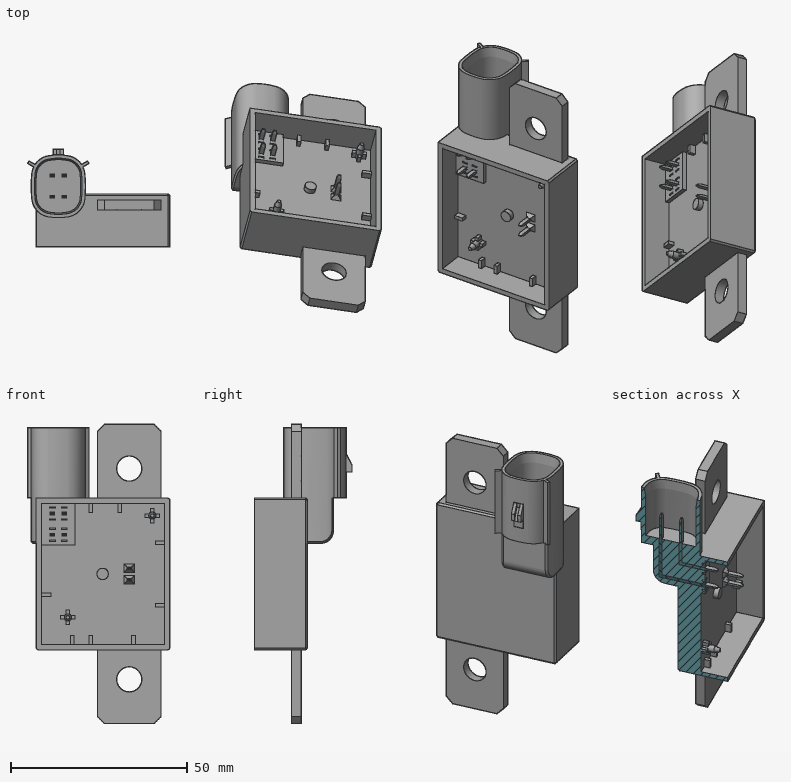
import cadquery as cq
import math


BAR_LENGTH = 85.0
BAR_WIDTH = 18.1
BAR_THICKNESS = 2.9
BAR_BACK_Y = -1.7
BAR_FRONT_Y = BAR_BACK_Y - BAR_THICKNESS
BAR_CORNER = 2.0
BAR_HOLE_DIAMETER = 7.05
BAR_HOLE_Z = 29.9

BOX_LEFT = -26.4
BOX_WIDTH = 38.0
BOX_RIGHT = BOX_LEFT + BOX_WIDTH
BOX_HEIGHT = 43.2
BOX_TOP = BOX_HEIGHT / 2
BOX_DEPTH = 15.05
BOX_CHAMFER = 0.5
WALL = 1.5
RECESS_DEPTH = 8.0
FLOOR_Y = RECESS_DEPTH - BOX_DEPTH
RECESS_LEFT = BOX_LEFT + WALL
RECESS_RIGHT = BOX_RIGHT - WALL
RECESS_TOP = BOX_TOP - WALL

SUPPORT_HEIGHT = 1.8
SUPPORT_THICKNESS = 1.0
TAB_LENGTH = 2.6
TOP_TAB_X = (-10.9, -2.7)
BOTTOM_TAB_X = (-16.2, -10.9, 1.2)
RIGHT_TAB_Z = (8.8, -8.8)
LEFT_TAB_Z = -5.95
PAD_RIGHT = -15.4
PAD_BOTTOM = 8.2
PAD_HEIGHT = 1.2
BUTTON_X = -7.6
BUTTON_DIAMETER = 3.2
BUTTON_HEIGHT = 1.5
POST_CENTRES = ((6.55, 16.6), (-17.4, -12.3))
POST_SPAN = 4.1
POST_DIAMETER = 2.0
POST_TIP_DIAMETER = 1.0
POST_SHOULDER = 3.6
POST_HEIGHT = 5.1

SHELL_X = -20.15
SHELL_Y = 2.1
SHELL_TOP = 41.6
SHELL_HALF_WIDTH = 7.7
SHELL_HALF_DEPTH = 8.9
CORNER_X = 1.9
CORNER_Y = 3.1
CORNER_RADIUS = 5.7
SHELL_WALL = 0.9
LEAD_IN_DEPTH = 3.0
LEAD_IN_STEP = 0.4
SOCKET_DEPTH = 17.0
WING_ANGLE = 30
WING_THICKNESS = 0.85
WING_ROOT = (5.95, 5.35)
WING_LENGTH = 3.0

STEM_BACK_Y = 7.4
STEM_BOTTOM = 8.7
STEM_RADIUS = 3.65
STEM_CHAMFER = 0.5

LATCH_WIDTH = 3.0
LATCH_BACK_Y = 12.7
LATCH_STRIP_Y = 11.1
LATCH_TOP = 33.9
LATCH_CREST_TOP = 30.9
LATCH_CREST_BOTTOM = 28.9
LATCH_STRIP_BOTTOM = 26.2
LATCH_GROOVE_WIDTH = 1.0
LATCH_GROOVE_TOP = 32.6

PIN_WIDTH = 1.3
PIN_THICKNESS = 0.8
PIN_PITCH = 3.3
PIN_ROW_PITCH = 6.0
PIN_FRONT_ROW_Y = -0.85
PIN_UPPER_ROW_Z = 17.2
PIN_SOCKET_LENGTH = 8.5
PIN_FRONT_END = FLOOR_Y - 4.85
PIN_TAPER = 0.25
PIN_TAPER_LENGTH = 1.0
SLIT_LENGTH = 1.6
SLIT_HEIGHT = 0.3
SLIT_OFFSET = 1.7
SLIT_DEPTH = 0.85

SENSE_PITCH = 3.3
SENSE_PIN_Z = (SENSE_PITCH / 2, -SENSE_PITCH / 2)
SENSE_WIDTH = 1.3
SENSE_THICKNESS = 0.7
SENSE_FRONT_END = FLOOR_Y - 5.7
PYRAMID_WIDTH = 2.9
PYRAMID_BASE_HEIGHT = 2.4
PYRAMID_DEPTH = 1.3


def block(x_range, y_range, z_range):
    """Box between pairs of limits given in any order."""
    size = [abs(r[1] - r[0]) for r in (x_range, y_range, z_range)]
    centre = [sum(r) / 2 for r in (x_range, y_range, z_range)]
    return cq.Workplane("XY").box(*size).translate(tuple(centre))


def front_plane(x, y, z):
    """Workplane facing -Y, with +X right and +Z up."""
    return cq.Workplane(cq.Plane((x, y, z), (1, 0, 0), (0, -1, 0)))


def around(centre, size):
    return centre - size / 2, centre + size / 2


def tapered_tip(plane, width, height):
    """Pin point that narrows away from the given plane."""
    return (
        plane.rect(width, height)
        .workplane(offset=PIN_TAPER_LENGTH)
        .rect(width - 2 * PIN_TAPER, height - 2 * PIN_TAPER)
        .loft(ruled=True)
    )



def bar_blank():
    return block(around(0, BAR_WIDTH), (BAR_BACK_Y, BAR_FRONT_Y), around(0, BAR_LENGTH))


def make_busbar():
    holes = (
        front_plane(0, BAR_BACK_Y, 0)
        .pushPoints([(0, BAR_HOLE_Z), (0, -BAR_HOLE_Z)])
        .circle(BAR_HOLE_DIAMETER / 2)
        .extrude(BAR_THICKNESS)
    )
    return bar_blank().edges("|Y").chamfer(BAR_CORNER).cut(holes)



def connector_pin_places():
    """X, socket Y and front Z of each pin; the rear socket row exits lower."""
    for side in (-0.5, 0.5):
        for row in (0, 1):
            yield (
                SHELL_X + side * PIN_PITCH,
                PIN_FRONT_ROW_Y + row * PIN_ROW_PITCH,
                PIN_UPPER_ROW_Z - row * PIN_ROW_PITCH,
            )


def make_connector_pin(x, y, z):
    half = PIN_THICKNESS / 2
    socket_end = SHELL_TOP - SOCKET_DEPTH + PIN_SOCKET_LENGTH
    taper_z = socket_end - PIN_TAPER_LENGTH
    taper_y = PIN_FRONT_END + PIN_TAPER_LENGTH
    upright = block(around(x, PIN_WIDTH), around(y, PIN_THICKNESS), (z - half, taper_z))
    level = block(around(x, PIN_WIDTH), (y + half, taper_y), around(z, PIN_THICKNESS))
    top_plane = cq.Workplane("XY", origin=(x, y, taper_z))
    return (
        upright.union(level)
        .union(tapered_tip(top_plane, PIN_WIDTH, PIN_THICKNESS))
        .union(tapered_tip(front_plane(x, taper_y, z), PIN_WIDTH, PIN_THICKNESS))
    )


def make_sense_pin(z):
    taper_y = SENSE_FRONT_END + PIN_TAPER_LENGTH
    shank = block(around(0, SENSE_WIDTH), (BAR_FRONT_Y, taper_y), around(z, SENSE_THICKNESS))
    return shank.union(tapered_tip(front_plane(0, taper_y, z), SENSE_WIDTH, SENSE_THICKNESS))



def make_box():
    box = block((BOX_LEFT, BOX_RIGHT), (0, -BOX_DEPTH), around(0, BOX_HEIGHT))
    box = box.edges("(|Y and >X) or (|Y and <X and <Z)").chamfer(BOX_CHAMFER)
    box = box.faces(">Y").chamfer(BOX_CHAMFER)
    recess = block((RECESS_LEFT, RECESS_RIGHT), (FLOOR_Y, -BOX_DEPTH), (-RECESS_TOP, RECESS_TOP))
    return box.cut(recess)


def make_supports():
    """Corner pad, wall tabs and round button."""
    height = (FLOOR_Y, FLOOR_Y - SUPPORT_HEIGHT)
    pad_height = (FLOOR_Y, FLOOR_Y - PAD_HEIGHT)
    supports = block((RECESS_LEFT, PAD_RIGHT), pad_height, (PAD_BOTTOM, RECESS_TOP))
    for x in TOP_TAB_X:
        tab = block(around(x, SUPPORT_THICKNESS), height, (RECESS_TOP, RECESS_TOP - TAB_LENGTH))
        supports = supports.union(tab)
    for x in BOTTOM_TAB_X:
        tab = block(around(x, SUPPORT_THICKNESS), height, (-RECESS_TOP, TAB_LENGTH - RECESS_TOP))
        supports = supports.union(tab)
    for z in RIGHT_TAB_Z:
        tab = block((RECESS_RIGHT, RECESS_RIGHT - TAB_LENGTH), height, around(z, SUPPORT_THICKNESS))
        supports = supports.union(tab)
    left_tab = block(
        (RECESS_LEFT, RECESS_LEFT + TAB_LENGTH), height, around(LEFT_TAB_Z, SUPPORT_THICKNESS)
    )
    button = front_plane(BUTTON_X, FLOOR_Y, 0).circle(BUTTON_DIAMETER / 2).extrude(BUTTON_HEIGHT)
    return supports.union(left_tab).union(button)


def make_post(x, z):
    """Locating post with a conical tip and four ribs in a cross."""
    base = front_plane(x, FLOOR_Y, z)
    ribs = base.rect(POST_SPAN, SUPPORT_THICKNESS).extrude(SUPPORT_HEIGHT)
    ribs = ribs.union(base.rect(SUPPORT_THICKNESS, POST_SPAN).extrude(SUPPORT_HEIGHT))
    shank = base.circle(POST_DIAMETER / 2).extrude(POST_SHOULDER)
    tip = (
        front_plane(x, FLOOR_Y - POST_SHOULDER, z)
        .circle(POST_DIAMETER / 2)
        .workplane(offset=POST_HEIGHT - POST_SHOULDER)
        .circle(POST_TIP_DIAMETER / 2)
        .loft()
    )
    return ribs.union(shank).union(tip)


def make_pyramid(z):
    return (
        front_plane(0, FLOOR_Y, z)
        .rect(PYRAMID_WIDTH, PYRAMID_BASE_HEIGHT)
        .workplane(offset=PYRAMID_DEPTH)
        .rect(SENSE_WIDTH, SENSE_THICKNESS)
        .loft(ruled=True)
    )


def bulge_radius(reach, along, across):
    """Radius of the shallow arc that crosses an axis at `reach` and meets the corner arc smoothly.

    The corner arc's centre lies at `along` on that axis and `across` off it.
    """
    gap = reach - along
    return (gap**2 + across**2 - CORNER_RADIUS**2) / (2 * (gap - CORNER_RADIUS))


def bulge_end(reach, along, across):
    """Point, as (along, across), where the shallow arc meets the corner arc."""
    radius = bulge_radius(reach, along, across)
    stretch = radius / (radius - CORNER_RADIUS)
    centre = reach - radius
    return centre + (along - centre) * stretch, across * stretch


def shell_outline(z):
    """Bulged rounded rectangle: shallow side and end arcs joined smoothly by corner arcs."""
    side_x, side_y = bulge_end(SHELL_HALF_WIDTH, CORNER_X, CORNER_Y)
    end_y, end_x = bulge_end(SHELL_HALF_DEPTH, CORNER_Y, CORNER_X)
    mid_x = CORNER_X + CORNER_RADIUS * math.sqrt(0.5)
    mid_y = CORNER_Y + CORNER_RADIUS * math.sqrt(0.5)
    return (
        cq.Workplane("XY", origin=(SHELL_X, SHELL_Y, z))
        .moveTo(side_x, -side_y)
        .threePointArc((SHELL_HALF_WIDTH, 0), (side_x, side_y))
        .threePointArc((mid_x, mid_y), (end_x, end_y))
        .threePointArc((0, SHELL_HALF_DEPTH), (-end_x, end_y))
        .threePointArc((-mid_x, mid_y), (-side_x, side_y))
        .threePointArc((-SHELL_HALF_WIDTH, 0), (-side_x, -side_y))
        .threePointArc((-mid_x, -mid_y), (-end_x, -end_y))
        .threePointArc((0, -SHELL_HALF_DEPTH), (end_x, -end_y))
        .threePointArc((mid_x, -mid_y), (side_x, -side_y))
        .close()
    )


def make_wing(side):
    """Thin rib slanting outward and back along the full shell height."""
    wing = (
        cq.Workplane("XY")
        .rect(WING_LENGTH, WING_THICKNESS)
        .extrude(SHELL_TOP - BOX_TOP)
        .translate((WING_LENGTH / 2, 0, 0))
        .rotate((0, 0, 0), (0, 0, 1), WING_ANGLE)
        .translate((WING_ROOT[0], WING_ROOT[1], 0))
    )
    if side < 0:
        wing = wing.mirror("YZ")
    return wing.translate((SHELL_X, SHELL_Y, BOX_TOP))


def latch_prism(width, outline):
    """Prism centred across the latch, from an outline of (Y, Z) points."""
    plane = cq.Workplane("YZ", origin=(SHELL_X - width / 2, 0, 0))
    return plane.polyline(outline).close().extrude(width)


def make_latch():
    """Sloped catch with a steeper groove down its middle and a thin strip below it."""
    inside_y = SHELL_Y + SHELL_HALF_DEPTH - SHELL_WALL / 2
    catch = latch_prism(LATCH_WIDTH, [
        (inside_y, LATCH_TOP),
        (LATCH_STRIP_Y, LATCH_TOP),
        (LATCH_BACK_Y, LATCH_CREST_TOP),
        (LATCH_BACK_Y, LATCH_CREST_BOTTOM),
        (LATCH_STRIP_Y, LATCH_CREST_BOTTOM),
        (LATCH_STRIP_Y, LATCH_STRIP_BOTTOM),
        (inside_y, LATCH_STRIP_BOTTOM),
    ])
    groove = latch_prism(LATCH_GROOVE_WIDTH, [
        (LATCH_STRIP_Y, LATCH_TOP),
        (LATCH_BACK_Y, LATCH_CREST_TOP),
        (LATCH_BACK_Y, LATCH_CREST_BOTTOM),
        (LATCH_STRIP_Y, LATCH_GROOVE_TOP),
    ])
    return catch.cut(groove)


def make_stem():
    """Lower connector body: the shell outline cut by a profile with a rounded heel."""
    side_profile = (
        block(
            (SHELL_X - SHELL_HALF_WIDTH, SHELL_X + SHELL_HALF_WIDTH),
            (FLOOR_Y, STEM_BACK_Y),
            (STEM_BOTTOM, BOX_TOP),
        )
        .edges("|X and >Y and <Z")
        .fillet(STEM_RADIUS)
    )
    stem = shell_outline(STEM_BOTTOM).extrude(BOX_TOP - STEM_BOTTOM).intersect(side_profile)
    return stem.faces("<Z").edges("not |X").chamfer(STEM_CHAMFER)


def make_socket():
    """Connector cavity with a tapered lead-in at the mouth."""
    bore_wall = SHELL_WALL + LEAD_IN_STEP
    socket_floor = SHELL_TOP - SOCKET_DEPTH
    bore = shell_outline(socket_floor).offset2D(-bore_wall).extrude(SOCKET_DEPTH)
    lead_in = (
        shell_outline(SHELL_TOP)
        .offset2D(-SHELL_WALL)
        .extrude(-LEAD_IN_DEPTH, taper=math.degrees(math.atan(LEAD_IN_STEP / LEAD_IN_DEPTH)))
    )
    return bore.union(lead_in)


def make_slits():
    """Short slits in the pad above and below each connector pin."""
    pad_y = FLOOR_Y - PAD_HEIGHT
    slits = cq.Workplane("XY")
    for x, _, z in connector_pin_places():
        for offset in (-SLIT_OFFSET, SLIT_OFFSET):
            slit = block(
                around(x, SLIT_LENGTH), (pad_y, pad_y + SLIT_DEPTH), around(z + offset, SLIT_HEIGHT)
            )
            slits = slits.add(slit)
    return slits.combine()


def make_housing(inserts):
    """Housing with a matching passage for every inserted body."""
    shell = shell_outline(BOX_TOP).extrude(SHELL_TOP - BOX_TOP)
    housing = make_box().union(make_stem()).union(shell).union(make_latch())
    for side in (-1, 1):
        housing = housing.union(make_wing(side))
    housing = housing.cut(make_socket()).union(make_supports())
    for x, z in POST_CENTRES:
        housing = housing.union(make_post(x, z))
    for z in SENSE_PIN_Z:
        housing = housing.union(make_pyramid(z))
    housing = housing.cut(make_slits()).cut(bar_blank())
    for insert in inserts:
        housing = housing.cut(insert)
    return housing


busbar = make_busbar()
connector_pins = [make_connector_pin(*place) for place in connector_pin_places()]
sense_pins = [make_sense_pin(z) for z in SENSE_PIN_Z]
housing = make_housing(connector_pins + sense_pins)

result = cq.Compound.makeCompound([
    housing.val(),
    busbar.val(),
    *[pin.val() for pin in connector_pins],
    *[pin.val() for pin in sense_pins],
])